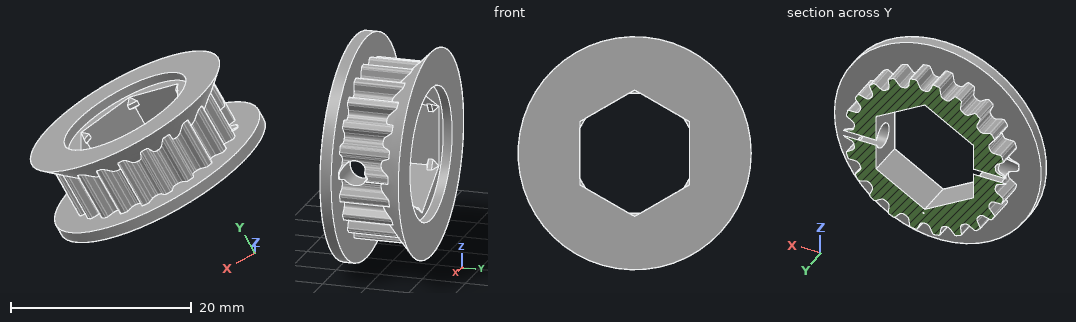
import cadquery as cq
import math

LENGTH = 8.8

FLANGE_DIA = 25.8
FLANGE_THICKNESS = 1.32
CONE_REAR_DIA = 23.8

TOOTH_COUNT = 22
TIP_RADIUS = 10.15
ROOT_RADIUS = 8.93
GAP_FLOOR_WIDTH = 0.9
FLANK_ANGLE = 25.0
ROOT_FILLET = 0.52
TIP_FILLET = 0.25
CUT_CLEARANCE = 0.25

HEX_SIDES = 6
HEX_FLATS = 12.1
RECESS_DIA = 15.3
RECESS_DEPTH = 1.03

BUMP_RADIUS = 6.63
BUMP_FLAT_START = 6.58
BUMP_FLAT_END = 7.1
BUMP_FRONT_RAMP = 0.2

HOLE_RADIUS = 1.45
HOLE_Y = 2.8
HOLE_TIP = 1.83

hex_corner_radius = HEX_FLATS / math.sqrt(3)
hex_end = LENGTH - RECESS_DEPTH
tooth_pitch = 360.0 / TOOTH_COUNT


def cylinder(radius, start, end):
    """Solid disc about the Y axis between two Y positions."""
    return cq.Workplane("XZ", origin=(0, start, 0)).circle(radius).extrude(start - end)


def toothed_rim():
    """Straight-toothed rim with flat-floored gaps; a tooth is centred on +X and on -X."""
    rim = cylinder(TIP_RADIUS, 0, LENGTH)
    gap_top = TIP_RADIUS + CUT_CLEARANCE
    half_floor = GAP_FLOOR_WIDTH / 2
    half_top = half_floor + (gap_top - ROOT_RADIUS) * math.tan(math.radians(FLANK_ANGLE))
    gap = (
        cq.Workplane("XZ")
        .polyline([
            (ROOT_RADIUS, -half_floor),
            (gap_top, -half_top),
            (gap_top, half_top),
            (ROOT_RADIUS, half_floor),
        ])
        .close()
        .extrude(-LENGTH)
        .edges("|Y and <X")
        .fillet(ROOT_FILLET)
    )
    for i in range(TOOTH_COUNT):
        rim = rim.cut(gap.rotate((0, 0, 0), (0, 1, 0), (i + 0.5) * tooth_pitch))
    middle_radius = (ROOT_RADIUS + TIP_RADIUS) / 2
    return (
        rim.edges("|Y")
        .filter(lambda edge: math.hypot(edge.Center().x, edge.Center().z) > middle_radius)
        .fillet(TIP_FILLET)
    )


def rear_cone():
    """45 degree flange that widens from the tooth roots to the rear face."""
    rear_radius = CONE_REAR_DIA / 2
    root_y = LENGTH - (rear_radius - ROOT_RADIUS)
    return (
        cq.Workplane("XY")
        .polyline([(0, root_y), (ROOT_RADIUS, root_y), (rear_radius, LENGTH), (0, LENGTH)])
        .close()
        .revolve(360, (0, 0, 0), (0, 1, 0))
    )


def hex_bore():
    """Hexagon along Y with corners on +Z and -Z."""
    return (
        cq.Workplane("XZ")
        .transformed(rotate=(0, 0, 90))
        .polygon(HEX_SIDES, 2 * hex_corner_radius)
        .extrude(-LENGTH)
    )


def bump():
    """Ramped block that fills the +Z corner of the hex bore."""
    return (
        cq.Workplane("YZ")
        .polyline([
            (BUMP_FLAT_START - BUMP_FRONT_RAMP, hex_corner_radius),
            (BUMP_FLAT_START, BUMP_RADIUS),
            (BUMP_FLAT_END, BUMP_RADIUS),
            (hex_end, hex_corner_radius),
        ])
        .close()
        .extrude(hex_corner_radius / 2, both=True)
    )


def cross_hole():
    """Teardrop through both walls along X, its point toward the rear."""
    tangent_angle = math.acos(HOLE_RADIUS / HOLE_TIP)
    tangent_y = HOLE_Y + HOLE_RADIUS * math.cos(tangent_angle)
    tangent_z = HOLE_RADIUS * math.sin(tangent_angle)
    return (
        cq.Workplane("YZ")
        .moveTo(HOLE_Y + HOLE_TIP, 0)
        .lineTo(tangent_y, tangent_z)
        .threePointArc((HOLE_Y - HOLE_RADIUS, 0), (tangent_y, -tangent_z))
        .close()
        .extrude(FLANGE_DIA / 2, both=True)
    )


bore = hex_bore()
for i in range(HEX_SIDES):
    bore = bore.cut(bump().rotate((0, 0, 0), (0, 1, 0), i * 360 / HEX_SIDES))

result = (
    toothed_rim()
    .union(cylinder(FLANGE_DIA / 2, 0, FLANGE_THICKNESS))
    .union(rear_cone())
    .cut(bore)
    .cut(cylinder(RECESS_DIA / 2, hex_end, LENGTH))
    .cut(cross_hole())
)